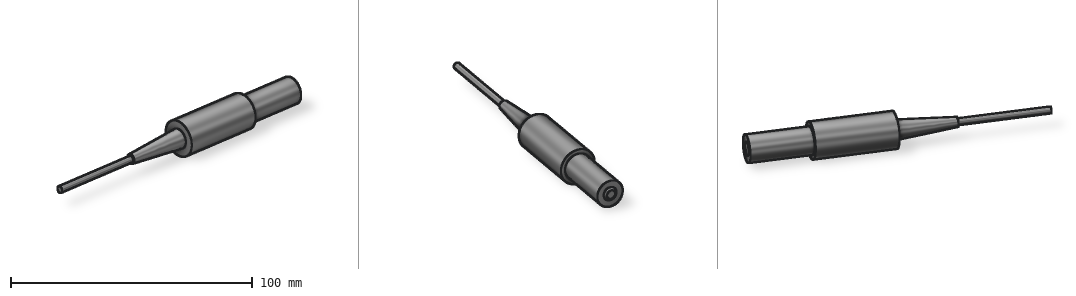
import cadquery as cq

total_length = 131.3

cable_diameter = 3.0
cable_length = 40.0

relief_length = 26.9
relief_tip_diameter = 4.3
relief_base_diameter = 8.8

body_diameter = 16.0
body_length = 36.0

barrel_diameter = 12.1
window_diameter = 6.0
window_tip_diameter = 4.0
window_height = 0.9

cable_start = -total_length / 2
relief_start = cable_start + cable_length
body_start = relief_start + relief_length
barrel_start = body_start + body_length
window_end = total_length / 2
window_start = window_end - window_height

profile = (
    cq.Workplane("XY")
    .moveTo(0, cable_start)
    .lineTo(cable_diameter / 2, cable_start)
    .lineTo(cable_diameter / 2, relief_start)
    .lineTo(relief_tip_diameter / 2, relief_start)
    .lineTo(relief_base_diameter / 2, body_start)
    .lineTo(body_diameter / 2, body_start)
    .lineTo(body_diameter / 2, barrel_start)
    .lineTo(barrel_diameter / 2, barrel_start)
    .lineTo(barrel_diameter / 2, window_start)
    .lineTo(window_diameter / 2, window_start)
    .lineTo(window_tip_diameter / 2, window_end)
    .lineTo(0, window_end)
    .close()
)

result = profile.revolve(360, (0, 0, 0), (0, 1, 0))